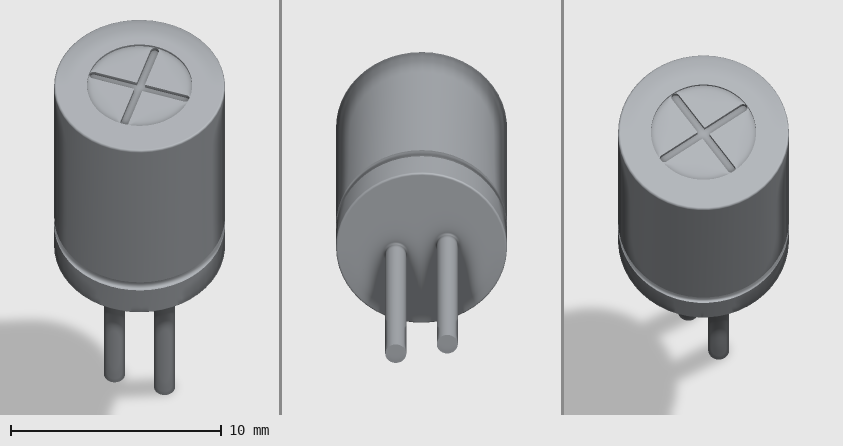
import cadquery as cq
import math

can_radius = 4.0
can_height = 12.0
can_rim_fillet = 0.3

crimp_height = 2.0
crimp_radius = 0.3

score_length = 5.0
score_width = 0.4
score_depth = 0.2

sleeve_wall = 0.06
sleeve_top_thickness = 2 * sleeve_wall
sleeve_radius = can_radius + sleeve_wall
sleeve_height = can_height + sleeve_top_thickness
sleeve_rim_fillet = 0.1
sleeve_opening_radius = score_length / 2

seal_radius = 3.0
seal_height = 1.4

lead_radius = 0.5
lead_spacing = 2.5
lead_free_length = 10.0
flare_radius = 0.1


def cylinder(radius, bottom, top):
    return cq.Workplane("XY").workplane(offset=bottom).circle(radius).extrude(top - bottom)


def filled_can():
    """The can's outer form, before the crimp, the score and the seal's seat."""
    return cylinder(can_radius, 0, can_height).edges().fillet(can_rim_fillet)


def crimp_ring():
    """The ring that the crimp takes out of the can."""
    return (
        cq.Workplane("XZ")
        .center(can_radius, crimp_height)
        .circle(crimp_radius)
        .revolve(360, (-can_radius, 0), (-can_radius, 1))
    )


def vent_score():
    """Two crossed slots with round ends, sunk into the can's top."""
    score = cq.Workplane("XY").workplane(offset=can_height - score_depth)
    along_x = score.slot2D(score_length, score_width).extrude(score_depth)
    along_y = score.slot2D(score_length, score_width, 90).extrude(score_depth)
    return along_x.union(along_y)


def make_can():
    seal_seat = cylinder(seal_radius, 0, seal_height)
    return filled_can().cut(crimp_ring()).cut(vent_score()).cut(seal_seat)


def make_sleeves():
    """The lower and the upper sleeve, parted by the crimp."""
    blank = cylinder(sleeve_radius, 0, sleeve_height).edges().fillet(sleeve_rim_fillet)
    opening = cylinder(sleeve_opening_radius, can_height, sleeve_height)
    gap = cylinder(sleeve_radius, crimp_height - crimp_radius, crimp_height + crimp_radius)
    return blank.cut(filled_can()).cut(opening).cut(gap).solids()


def make_lead(x):
    """A round lead with a concave flare just below the seal."""
    arc_middle = flare_radius * (1 - math.sqrt(0.5))
    profile = (
        cq.Workplane("XZ")
        .moveTo(0, -lead_free_length)
        .lineTo(lead_radius, -lead_free_length)
        .lineTo(lead_radius, -flare_radius)
        .threePointArc(
            (lead_radius + arc_middle, -arc_middle),
            (lead_radius + flare_radius, 0),
        )
        .lineTo(lead_radius, 0)
        .lineTo(lead_radius, seal_height)
        .lineTo(0, seal_height)
        .close()
    )
    return profile.revolve(360, (0, 0), (0, 1)).translate((x, 0, 0))


def make_seal(leads):
    seal = cylinder(seal_radius, 0, seal_height)
    for lead in leads:
        seal = seal.cut(lead)
    return seal


can = make_can()
sleeves = make_sleeves()
leads = [make_lead(x) for x in (-lead_spacing / 2, lead_spacing / 2)]
seal = make_seal(leads)

result = cq.Compound.makeCompound(
    [can.val(), *sleeves.vals(), seal.val(), *[lead.val() for lead in leads]]
)